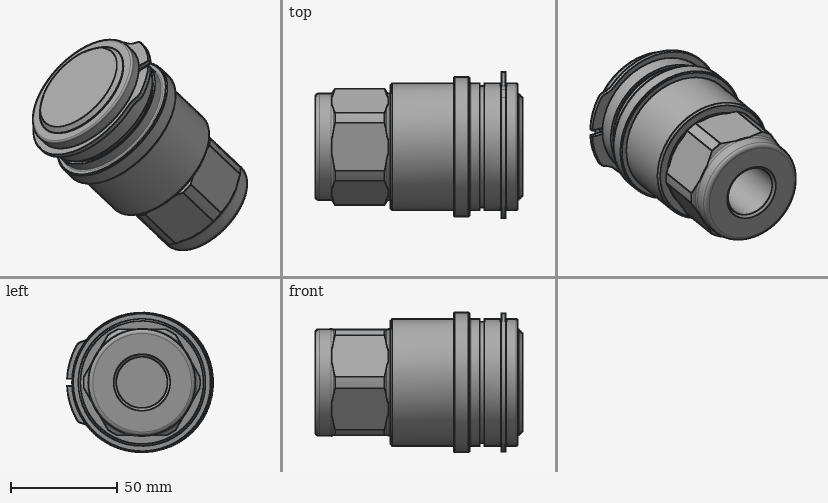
import cadquery as cq
import math

nut_start = 8.1
nut_end = 34.0
flats_start = 7.9
flats_end = 34.5
body_start = 35.5
collar_start = 65.3
collar_end = 72.8
seal_groove_start = 77.7
seal_groove_end = 79.8
ring_start = 87.8
ring_end = 89.9
body_end = 95.55
spigot_chamfer_start = 95.9
length = 98.0

nose_radius = 25.2
spigot_radius = 25.0
nut_across_flats = 50.0
nut_corner_radius = 27.4
body_radius = 30.0
collar_diameter = 66.0
collar_radius = collar_diameter / 2
groove_floor_radius = 28.7
bore_radius = 12.1

nose_fillet = 2.0
nut_chamfer_angle = 30.0
nut_fillet = 1.2
body_chamfer = 1.0
body_end_fillet = 1.0
collar_chamfer = 0.6
collar_root_fillet = 0.6
bore_chamfer = 1.3

bore_depth = body_start

ring_radius = 32.7
ring_offset = 0.9
ring_side_gap = 0.3
ring_slit_width = 3.3
lug_radius = 35.4
lug_arc_end_y = 30.8
lug_tip = (28.9, 19.1)
lug_root = (27.0, 19.7)
lug_blend_end_y = 23.2


def cylinder(start, end, radius):
    """Cylinder on the X axis between two axial positions."""
    return cq.Workplane("YZ", origin=(start, 0, 0)).circle(radius).extrude(end - start)


def make_nose_and_nut():
    """Round nose, nut and neck turned as one blank, with the nut's six flats cut into it."""
    chamfer_length = (nut_corner_radius - nose_radius) * math.tan(math.radians(nut_chamfer_angle))
    nut = (
        cq.Workplane("XY")
        .moveTo(nut_start, 0)
        .lineTo(nut_start, nose_radius)
        .lineTo(nut_start + chamfer_length, nut_corner_radius)
        .lineTo(nut_end - chamfer_length, nut_corner_radius)
        .lineTo(nut_end, nose_radius)
        .lineTo(nut_end, 0)
        .close()
        .revolve(360, (0, 0, 0), (1, 0, 0))
    )
    blank = cylinder(0, body_start, nose_radius).union(nut)
    for position in (nut_start, nut_end):
        root = cq.selectors.BoxSelector(
            (position - nut_fillet / 2, -nut_corner_radius, -nut_corner_radius),
            (position + nut_fillet / 2, nut_corner_radius, nut_corner_radius),
        )
        blank = blank.edges(root).fillet(nut_fillet)
    blank = blank.faces("<X").edges().fillet(nose_fillet)
    return blank.cut(make_flats())


def make_flats():
    """Tool that leaves a hexagon with flats on +Z and -Z."""
    hexagon_diameter = nut_across_flats / math.cos(math.radians(30))
    return (
        cq.Workplane("YZ", origin=(flats_start, 0, 0))
        .circle(body_radius)
        .polygon(6, hexagon_diameter)
        .extrude(flats_end - flats_start)
    )


def make_body():
    """Main barrel with its collar and two ring grooves."""
    barrel = cylinder(body_start, body_end, body_radius)
    barrel = barrel.faces("<X").edges().chamfer(body_chamfer)
    barrel = barrel.faces(">X").edges().fillet(body_end_fillet)

    collar = cylinder(collar_start, collar_end, collar_radius).edges("%CIRCLE").chamfer(collar_chamfer)
    root_end = collar_end + collar_root_fillet
    root_top = body_radius + collar_root_fillet
    root_mid_drop = collar_root_fillet * math.sin(math.radians(45))
    root = (
        cq.Workplane("XY")
        .moveTo(collar_end, 0)
        .lineTo(collar_end, root_top)
        .threePointArc((root_end - root_mid_drop, root_top - root_mid_drop), (root_end, body_radius))
        .lineTo(root_end, 0)
        .close()
        .revolve(360, (0, 0, 0), (1, 0, 0))
    )
    return (
        barrel.union(collar)
        .union(root)
        .cut(make_groove(seal_groove_start, seal_groove_end))
        .cut(make_groove(ring_start - ring_side_gap, ring_end + ring_side_gap))
    )


def make_groove(start, end):
    """Tool for a square groove around the barrel."""
    return cylinder(start, end, collar_radius).cut(cylinder(start, end, groove_floor_radius))


def make_spigot():
    """Short end spigot with a long conical chamfer."""
    return (
        cylinder(body_end, length, spigot_radius)
        .faces(">X")
        .edges()
        .chamfer(length - spigot_chamfer_start)
    )


def make_lug(thickness):
    """The +Z half of the ring's raised ends, blended into the round part."""
    arc_middle_angle = 0.5 * math.acos(lug_arc_end_y / lug_radius)
    blend_end_z = math.sqrt(ring_radius**2 - (lug_blend_end_y + ring_offset) ** 2)
    return (
        cq.Workplane("YZ", origin=(ring_start, 0, 0))
        .lineTo(lug_radius, 0)
        .threePointArc(
            (lug_radius * math.cos(arc_middle_angle), lug_radius * math.sin(arc_middle_angle)),
            (lug_arc_end_y, math.sqrt(lug_radius**2 - lug_arc_end_y**2)),
        )
        .tangentArcPoint(lug_tip, relative=False)
        .lineTo(*lug_root)
        .tangentArcPoint((lug_blend_end_y, blend_end_z), relative=False)
        .close()
        .extrude(thickness)
    )


def make_retaining_ring():
    """Offset snap ring seated in its groove, slit between the two lugs."""
    thickness = ring_end - ring_start
    lug = make_lug(thickness)
    slit = cq.Workplane("XY", origin=(ring_start, 0, 0)).box(
        thickness, lug_radius, ring_slit_width, centered=(False, False, True)
    )
    return (
        cylinder(ring_start, ring_end, ring_radius)
        .translate((0, -ring_offset, 0))
        .union(lug)
        .union(lug.mirror("XY"))
        .cut(slit)
    )


def make_bore():
    """Tool for the blind bore with its chamfered mouth."""
    mouth = (
        cq.Workplane("YZ")
        .circle(bore_radius + bore_chamfer)
        .workplane(offset=bore_chamfer)
        .circle(bore_radius)
        .loft()
    )
    return cylinder(0, bore_depth, bore_radius).union(mouth)


result = (
    make_nose_and_nut()
    .union(make_retaining_ring())
    .union(make_body())
    .union(make_spigot())
    .cut(make_bore())
)